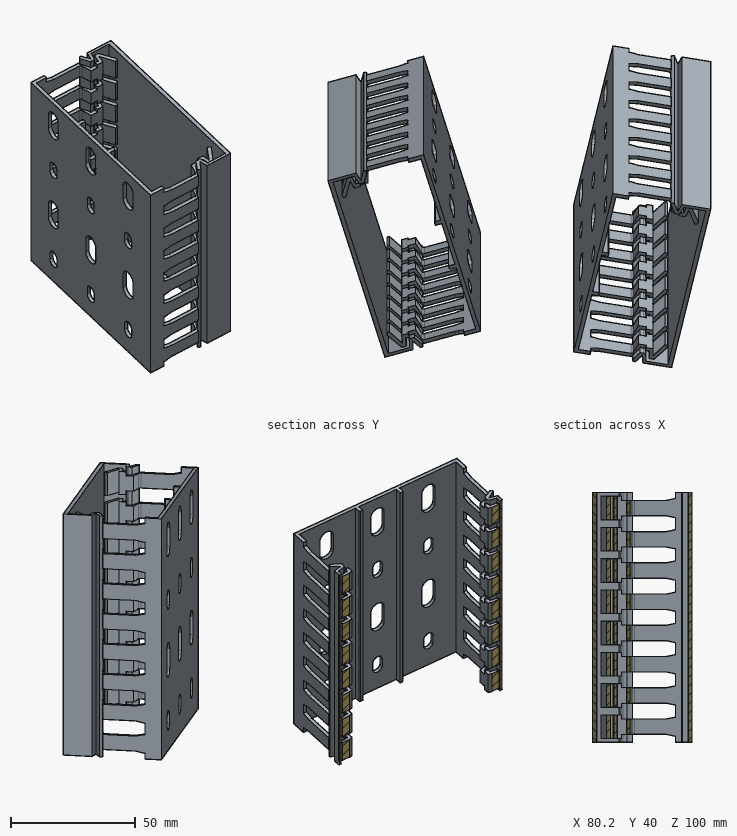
import cadquery as cq


width = 80.2
depth = 40.0
length = 100.0
half_width = width / 2

wall = 1.6
slot_pitch = 12.5
slot_count = round(length / slot_pitch)
slot_width = slot_pitch / 2
slot_bottom_width = 4.7
slot_bottom = 6.7
slot_full_width_start = 10.4
tab_gap = 3.0
tab_start = 28.3

seat_height = 23.9
seat_inset = 0.8
neck_inset = 5.1
neck_low_outer = 26.3
neck_low_inner = 25.2
neck_high_outer = 29.9
neck_high_inner = 31.0
hook_inset = 1.6
hook_low = 30.5
hook_high = 32.4
hook_root_inset = 3.3
hook_root_height = 31.7
tip_inset = 9.5
tip_outer_height = 37.3
tip_inner_height = 35.3
tip_radius = 0.9
shoulder_height = 23.8
shoulder_radius = 1.0

cover_top = 1.8
cover_wall = 1.2
groove_top = 28.2
groove_bottom = 25.1
groove_inset = 3.6
groove_height = 27.3
lip_root_height = 29.3
lip_slope = (neck_low_outer - seat_height) / (neck_inset - seat_inset)
lip_nose_clearance = 0.2
lip_nose_inset = neck_inset - lip_nose_clearance
lip_nose_bottom = neck_low_outer - lip_nose_clearance * lip_slope
lip_nose_top = 28.4
lip_nose_radius = 1.0
lip_end_radius = 0.75

rib_spacing = 20.0
rib_width = 1.6
rib_height = 2.7
rib_chamfer = 0.5

mount_columns = 3
mount_column_pitch = 25.0
mount_row_pitch = 50.0
mount_row_count = 2
small_slot_first_z = 12.5
small_slot_size = (8.0, 4.6)
large_slot_first_z = 37.5
large_slot_size = (14.0, 6.5)


def extrude_symmetric(side):
    """Close a left-side outline, given as (inset, height), with its mirror image and extrude it."""
    left = [(inset - half_width, height) for inset, height in side]
    right = [(-x, y) for x, y in reversed(left)]
    return cq.Workplane("XY").polyline(left + right).close().extrude(length)


def round_edges(body, inset, height, radius):
    """Round the lengthwise edge at (inset, height) on both sides of the duct."""
    for side in (-1, 1):
        point = (side * (half_width - inset), height, length / 2)
        body = body.edges(cq.selectors.NearestToPointSelector(point)).fillet(radius)
    return body


def trough_profile():
    trough = extrude_symmetric([
        (0, 0),
        (0, seat_height),
        (seat_inset, seat_height),
        (neck_inset, neck_low_outer),
        (neck_inset, neck_high_outer),
        (hook_inset, hook_low),
        (hook_inset, hook_high),
        (tip_inset, tip_outer_height),
        (tip_inset, tip_inner_height),
        (hook_root_inset, hook_root_height),
        (neck_inset + wall, neck_high_inner),
        (neck_inset + wall, neck_low_inner),
        (wall, shoulder_height),
        (wall, wall),
    ])
    trough = round_edges(trough, tip_inset, tip_outer_height, tip_radius)
    return round_edges(trough, wall, shoulder_height, shoulder_radius)


def floor_rib(side):
    """Full-length rib with its outward top edge chamfered."""
    rib = (
        cq.Workplane("XY")
        .box(rib_width, wall + rib_height, length, centered=(True, False, False))
        .translate((side * rib_spacing / 2, 0, 0))
    )
    outer_top = (side * (rib_spacing + rib_width) / 2, wall + rib_height, length / 2)
    return rib.edges(cq.selectors.NearestToPointSelector(outer_top)).chamfer(rib_chamfer)


def side_slot(z):
    """Cutter through both side walls: tapered bottom, straight sides, narrow gap between tabs."""
    upper = [
        (slot_bottom, slot_bottom_width / 2),
        (slot_full_width_start, slot_width / 2),
        (tab_start, slot_width / 2),
        (tab_start, tab_gap / 2),
        (depth, tab_gap / 2),
    ]
    lower = [(y, -offset) for y, offset in reversed(upper)]
    return (
        cq.Workplane("YZ", origin=(0, 0, z))
        .polyline(upper + lower)
        .close()
        .extrude(half_width, both=True)
    )


def mounting_slots(size, first_z):
    """Cutters for a grid of slots through the floor, long axis along the duct."""
    slot_length, slot_breadth = size
    middle_z = first_z + (mount_row_count - 1) * mount_row_pitch / 2
    return (
        cq.Workplane("XZ", origin=(0, 0, middle_z))
        .rarray(mount_column_pitch, mount_row_pitch, mount_columns, mount_row_count)
        .slot2D(slot_length, slot_breadth, 90)
        .extrude(-wall)
    )


def make_trough():
    trough = trough_profile()
    for side in (-1, 1):
        trough = trough.union(floor_rib(side))
    for index in range(slot_count + 1):
        trough = trough.cut(side_slot(index * slot_pitch))
    trough = trough.cut(mounting_slots(small_slot_size, small_slot_first_z))
    return trough.cut(mounting_slots(large_slot_size, large_slot_first_z))


def make_cover():
    """Flat cover whose sides fold into V-shaped lips that snap under the finger hooks."""
    cover = extrude_symmetric([
        (0, depth),
        (0, groove_top),
        (groove_inset, groove_height),
        (0, groove_bottom),
        (0, seat_height),
        (seat_inset, seat_height),
        (lip_nose_inset, lip_nose_bottom),
        (lip_nose_inset, lip_nose_top),
        (cover_wall, lip_root_height),
        (cover_wall, depth - cover_top),
    ])
    cover = round_edges(cover, lip_nose_inset, lip_nose_top, lip_nose_radius)
    return round_edges(cover, 0, seat_height, lip_end_radius)


trough = make_trough()
cover = make_cover()

result = cq.Compound.makeCompound([trough.val(), cover.val()])